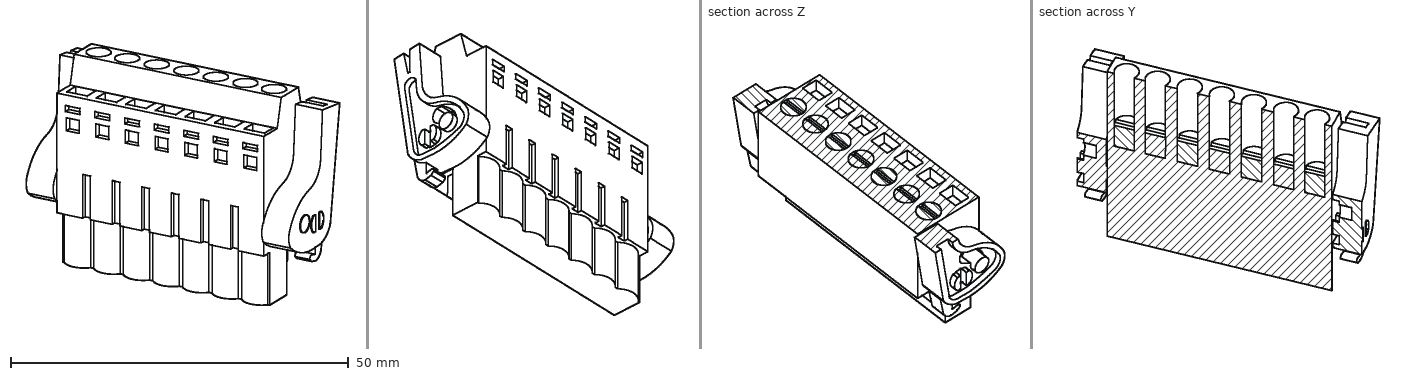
import cadquery as cq


pole_count = 7
pole_pitch = 5.08
housing_length = pole_count * pole_pitch
housing_left = -housing_length / 2

housing_depth = 12.17
housing_height = 31.8
plug_height = 8.33
shoulder_height = 27.29
shoulder_depth_front = 3.9
shoulder_depth_back = 0.95
top_front = 5.06
top_back = 10.11

plug_back = 6.72
plug_face = 1.67
plug_rib_width = 4.52
plug_rib_height = 1.02

latch_front = 7.5
latch_back = 8.61
latch_end_inset = 1.0

screw_diameter = 3.7
screw_hole_depth = 14.0
screw_length = 4.0
screw_slot_width = 0.68
screw_slot_depth = 1.0
screw_y = (top_front + top_back) / 2
end_screw_inset = 0.17

opening_shift = 0.18
wire_opening_width = 3.5
wire_opening_front = 1.23
wire_opening_back = 3.8
wire_opening_depth = 8.0
window_depth = 1.0
slit_width, slit_bottom, slit_top = 2.5, 24.66, 25.61
window_width, window_bottom, window_top = 2.2, 21.64, 23.7

groove_width = 1.3
groove_height = 6.92
groove_depth = 0.7

lever_thickness = 4.64
lever_gap = 0.14
lever_pocket_depth = 1.0
lever_notch_depth = 3.6
hook_offset = 1.05
hook_width = 2.55
hook_front = 8.61

pivot_y, pivot_z = 7.35, 12.27
pivot_radius = 1.77
pivot_flat_height = 2.66
pivot_slot_width = 1.13
pivot_slot_radius = 1.52
pivot_slot_extra_depth = 0.2
pin_y, pin_z = 3.7, 13.18
pin_radius = 1.36
guide_slot_depth = 2.0

pole_centers = [housing_left + pole_pitch * (i + 0.5) for i in range(pole_count)]
pole_borders = [housing_left + pole_pitch * i for i in range(1, pole_count)]
opening_centers = [x + opening_shift for x in pole_centers]
screw_centers = list(pole_centers)
screw_centers[0] += end_screw_inset
screw_centers[-1] -= end_screw_inset


def box(x_center, width, y_front, y_back, z_bottom, z_top):
    """Box centred on x_center between the given Y and Z limits."""
    corner = (x_center - width / 2, y_front, z_bottom)
    return cq.Workplane("XY").box(width, y_back - y_front, z_top - z_bottom, centered=False).translate(corner)


def side_plane(x):
    """Sketch plane at the given X with local axes Y and Z, extruding toward +X."""
    return cq.Workplane("YZ", origin=(x, 0, 0))


def make_housing_block():
    back_shoulder = housing_depth - shoulder_depth_back
    return (
        side_plane(housing_left)
        .moveTo(0, plug_height)
        .lineTo(0, shoulder_height)
        .lineTo(shoulder_depth_front, shoulder_height)
        .lineTo(top_front, housing_height)
        .lineTo(top_back, housing_height)
        .lineTo(back_shoulder, shoulder_height)
        .lineTo(housing_depth, shoulder_height)
        .lineTo(housing_depth, plug_height)
        .close()
        .extrude(housing_length)
    )


def make_plug():
    """Plug with one rounded rib in front of each pole."""
    plug = cq.Workplane("XY").moveTo(housing_left, plug_back).lineTo(housing_left, plug_face)
    for x in pole_centers:
        plug = plug.lineTo(x - plug_rib_width / 2, plug_face).threePointArc(
            (x, plug_face - plug_rib_height), (x + plug_rib_width / 2, plug_face)
        )
    plug = plug.lineTo(-housing_left, plug_face).lineTo(-housing_left, plug_back)
    return plug.close().extrude(plug_height)


def make_latch_strip():
    """Barbed strip hanging from the housing behind the plug."""
    return (
        side_plane(housing_left + latch_end_inset)
        .moveTo(latch_front, plug_height)
        .lineTo(latch_front, 5.8)
        .lineTo(7.1, 4.6)
        .lineTo(7.45, 3.66)
        .lineTo(8.69, 4.77)
        .lineTo(latch_back, 5.6)
        .lineTo(latch_back, plug_height)
        .close()
        .extrude(housing_length - 2 * latch_end_inset)
    )


def make_screw_cylinder(x, length):
    bottom = housing_height - screw_hole_depth
    return cq.Workplane("XY", origin=(x, screw_y, bottom)).circle(screw_diameter / 2).extrude(length)


def make_housing():
    housing = make_housing_block().union(make_plug()).union(make_latch_strip())
    for x in screw_centers:
        housing = housing.cut(make_screw_cylinder(x, screw_hole_depth))
    for x in opening_centers:
        wire_floor = shoulder_height - wire_opening_depth
        housing = housing.cut(
            box(x, wire_opening_width, wire_opening_front, wire_opening_back, wire_floor, shoulder_height)
        )
        housing = housing.cut(box(x, slit_width, 0, window_depth, slit_bottom, slit_top))
        housing = housing.cut(box(x, window_width, 0, window_depth, window_bottom, window_top))
    for x in pole_borders:
        groove_top = plug_height + groove_height
        housing = housing.cut(box(x, groove_width, 0, groove_depth, plug_height, groove_top))
    return housing


def make_screw(x):
    top = housing_height - screw_hole_depth + screw_length
    half_slot = screw_slot_width / 2
    slot = box(x, screw_diameter, screw_y - half_slot, screw_y + half_slot, top - screw_slot_depth, top)
    return make_screw_cylinder(x, screw_length).cut(slot)


def make_lever_plate(x):
    return (
        side_plane(x)
        .moveTo(14.06, 28.92)
        .lineTo(9.0, 29.47)
        .lineTo(8.44, 21.78)
        .tangentArcPoint((5.3, 18.13), relative=False)
        .threePointArc((2.73, 17.13), (-0.17, 14.23))
        .lineTo(-0.58, 13.5)
        .threePointArc((-0.85, 12.27), (-0.37, 10.65))
        .threePointArc((2.81, 8.86), (6.05, 8.33))
        .lineTo(8.61, 8.45)
        .threePointArc((10.21, 9.24), (11.32, 10.65))
        .close()
        .extrude(lever_thickness)
    )


def make_lever_pocket(x):
    return (
        side_plane(x)
        .moveTo(11.98, 22.98)
        .threePointArc((10.91, 24.05), (9.72, 23.18))
        .lineTo(9.49, 20.96)
        .threePointArc((8.52, 19.0), (6.05, 17.42))
        .threePointArc((2.47, 15.85), (0.43, 13.47))
        .threePointArc((0.05, 12.1), (0.94, 10.69))
        .threePointArc((3.41, 9.85), (6.0, 9.29))
        .lineTo(8.5, 9.35)
        .threePointArc((9.75, 10.0), (10.19, 11.08))
        .close()
        .extrude(lever_pocket_depth)
    )


def make_lever_notch(x):
    """Tapered notch in the top of the lever, open on the -X side."""
    return (
        side_plane(x)
        .polyline([(12.25, 29.8), (10.94, 29.8), (10.94, 25.23), (11.32, 25.23), (12.14, 29.12)])
        .close()
        .extrude(lever_notch_depth)
    )


def make_hook(x):
    """Hook below the lever with its tip pointing toward the plug."""
    return (
        side_plane(x + hook_offset)
        .moveTo(10.99, 9.97)
        .lineTo(10.36, 6.65)
        .threePointArc((9.8, 5.83), (8.78, 5.42))
        .lineTo(7.6, 5.7)
        .lineTo(7.07, 6.2)
        .threePointArc((7.15, 6.6), (7.5, 6.75))
        .lineTo(hook_front, 6.53)
        .lineTo(hook_front, 9.97)
        .close()
        .extrude(hook_width)
    )


def make_pivot(x, height):
    """Round boss with flats above and below, split by an upright slot."""
    boss = side_plane(x).center(pivot_y, pivot_z).circle(pivot_radius).extrude(height)
    flats = side_plane(x).center(pivot_y, pivot_z).rect(2 * pivot_radius, pivot_flat_height).extrude(height)
    slot = side_plane(x).center(pivot_y, pivot_z).rect(pivot_slot_width, 2 * pivot_radius).extrude(height)
    return boss.intersect(flats).cut(slot)


def make_pivot_slot_floor(x):
    """Sunk floor of the pivot slot, with rounded ends."""
    disc = side_plane(x).center(pivot_y, pivot_z).circle(pivot_slot_radius).extrude(pivot_slot_extra_depth)
    strip = side_plane(x).center(pivot_y, pivot_z).rect(pivot_slot_width, 2 * pivot_radius)
    return disc.intersect(strip.extrude(pivot_slot_extra_depth))


def make_pin(x, height):
    return side_plane(x).center(pin_y, pin_z).circle(pin_radius).extrude(height)


def make_guide_slot(x):
    """Curved slot that ends at the pin."""
    return (
        side_plane(x)
        .moveTo(5.45, 17.05)
        .threePointArc((3.83, 15.94), (2.59, 14.23))
        .lineTo(pin_y, pin_z)
        .lineTo(5.0, 13.6)
        .threePointArc((5.88, 14.15), (6.7, 14.66))
        .threePointArc((7.21, 15.68), (6.4, 17.08))
        .close()
        .extrude(guide_slot_depth)
    )


def make_lever(x):
    """Lever whose outer -X face lies at x."""
    pocket_floor = x + lever_pocket_depth
    inner_face = x + lever_thickness
    lever = make_lever_plate(x).cut(make_lever_pocket(x)).cut(make_lever_notch(x))
    lever = lever.union(make_hook(x))
    lever = lever.cut(make_guide_slot(pocket_floor))
    lever = lever.union(make_pin(x, lever_pocket_depth + guide_slot_depth))
    lever = lever.union(make_pivot(x, lever_pocket_depth))
    lever = lever.cut(make_pivot_slot_floor(pocket_floor))
    return lever.union(make_pin(inner_face, lever_gap)).union(make_pivot(inner_face, lever_gap))


housing = make_housing()
screws = [make_screw(x) for x in screw_centers]
lever_positions = [housing_left - lever_gap - lever_thickness, -housing_left + lever_gap]
levers = [make_lever(x) for x in lever_positions]

bodies = [housing] + screws + levers
result = cq.Compound.makeCompound([body.solids().val() for body in bodies])